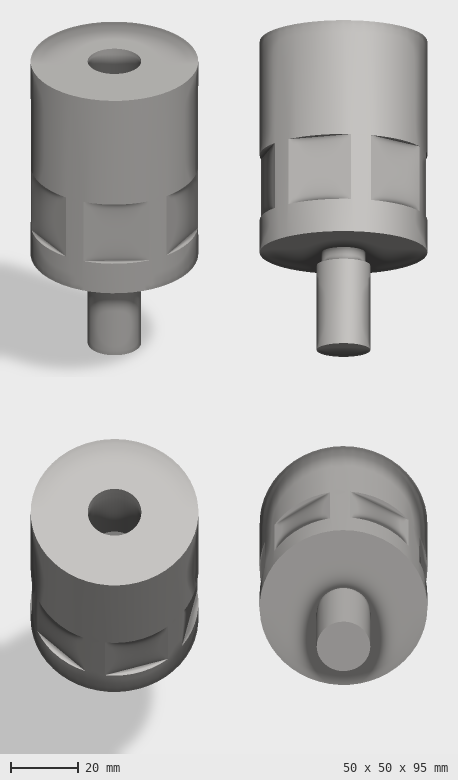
import cadquery as cq

total_height = 95.0
body_diameter = 50.0
stem_diameter = 16.0
stem_length = 26.0
neck_diameter = 13.0
neck_length = 4.0
bore_diameter = stem_diameter
bore_depth = stem_length

flat_count = 6
across_flats = 46.0
flat_height = 19.95
collar_height = 10.0

body_bottom = stem_length + neck_length
body_height = total_height - body_bottom
flats_bottom = body_bottom + collar_height


def cylinder(diameter, height, bottom):
    return cq.Workplane("XY").workplane(offset=bottom).circle(diameter / 2).extrude(height)


def flat_cutter(angle):
    """Block that removes the body beyond one flat, facing the given angle from +X."""
    depth = body_diameter - across_flats
    block = cq.Workplane("XY").box(depth, body_diameter, flat_height, centered=(False, True, False))
    return block.translate((across_flats / 2, 0, flats_bottom)).rotate((0, 0, 0), (0, 0, 1), angle)


result = cylinder(body_diameter, body_height, body_bottom)
result = result.union(cylinder(neck_diameter, neck_length, stem_length))
result = result.union(cylinder(stem_diameter, stem_length, 0))

for index in range(flat_count):
    result = result.cut(flat_cutter(index * 360 / flat_count))

result = result.cut(cylinder(bore_diameter, bore_depth, total_height - bore_depth))